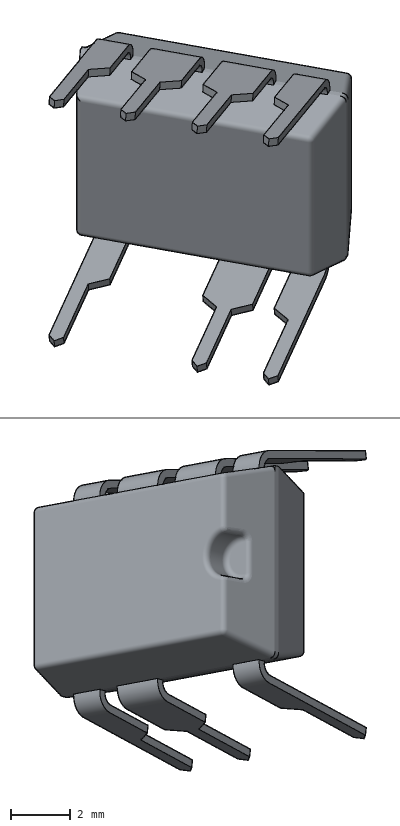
import cadquery as cq
import math

body_length = 9.45
body_width = 6.65
body_thickness = 4.32
band_thickness = 0.2
draft_angle = 14.5
edge_radius = 0.2

notch_radius = 0.75
notch_depth = 1.02
notch_edge_radius = 0.19

overall_height = 9.96
overall_depth = 7.95
lead_thickness = 0.28
lead_pitch = 2.54
leads_per_row = 4
splay_angle = 10.0
bend_inner_radius = 0.38
lead_embed = 0.2
shoulder_half_width = 0.89
leg_half_width = 0.26
shoulder_taper_length = 0.43
leg_length = 2.74
tip_length = 0.24
empty_lower_place = 1

taper_height = (body_thickness - band_thickness) / 2
notch_center_x = -body_length / 2 + taper_height * math.tan(math.radians(draft_angle))
notch_overrun = 2 * notch_radius

splay = math.radians(splay_angle)
bend_turn = math.pi / 2 - splay
bend_outer_radius = bend_inner_radius + lead_thickness
bend_center_y = lead_thickness / 2 - bend_outer_radius
bend_end_inner_y = bend_center_y + bend_inner_radius * math.cos(bend_turn)
lowest_y = body_thickness / 2 - overall_depth
blade_length = (bend_end_inner_y - lowest_y) / math.cos(splay)
blade_rise = blade_length * math.sin(splay)
bend_start_z = overall_height / 2 - blade_rise - bend_outer_radius * math.sin(bend_turn)


def bend_point(radius, angle):
    """Point (y, z) on the bend, turned by angle from its start."""
    return (
        bend_center_y + radius * math.cos(angle),
        bend_start_z + radius * math.sin(angle),
    )


def make_tapered_half(side, rounded_corners):
    """Half of the body from the band to its broad face, on the +Y (1) or -Y (-1) side."""
    half = (
        cq.Workplane("XZ", origin=(0, side * band_thickness / 2, 0))
        .rect(body_length, body_width)
        .extrude(-side * taper_height, taper=draft_angle)
    )
    corners = half.edges("not #Y").edges(rounded_corners)
    broad_face_rim = half.edges(">Y" if side > 0 else "<Y")
    return broad_face_rim.add(corners).fillet(edge_radius)


def make_body():
    """Band with two tapered halves; the -X +Z corner is sharp on the band and the -Y half."""
    all_corners = ">X or <X"
    all_but_sharp_corner = ">X or <Z"
    band = (
        cq.Workplane("XZ")
        .rect(body_length, body_width)
        .extrude(band_thickness / 2, both=True)
        .edges("|Y")
        .edges(all_but_sharp_corner)
        .fillet(edge_radius)
    )
    back_half = make_tapered_half(1, all_corners)
    front_half = make_tapered_half(-1, all_but_sharp_corner)
    return band.union(back_half).union(front_half)


def make_notch_cutter():
    """Slot with a round inner end; its floor is rounded into its walls."""
    return (
        cq.Workplane("XZ", origin=(notch_center_x, body_thickness / 2 - notch_depth, 0))
        .moveTo(-notch_overrun, -notch_radius)
        .lineTo(0, -notch_radius)
        .threePointArc((notch_radius, 0), (0, notch_radius))
        .lineTo(-notch_overrun, notch_radius)
        .close()
        .extrude(-notch_depth - notch_overrun)
        .faces("<Y")
        .edges("not <X")
        .fillet(notch_edge_radius)
    )


def cut_notch(body):
    """Cut the notch and round its rim, which is one smooth chain of edges."""
    rim_point = (notch_center_x + notch_radius, body_thickness / 2, 0)
    rim_edge = cq.selectors.NearestToPointSelector(rim_point)
    return body.cut(make_notch_cutter()).edges(rim_edge).fillet(notch_edge_radius)


def make_full_lead():
    """Lead at X = 0 on the +Z side, with a shoulder on both sides of its leg."""
    half_thickness = lead_thickness / 2

    bend = (
        cq.Workplane("YZ", origin=(-shoulder_half_width, 0, 0))
        .moveTo(half_thickness, body_width / 2 - lead_embed)
        .lineTo(half_thickness, bend_start_z)
        .threePointArc(
            bend_point(bend_outer_radius, bend_turn / 2),
            bend_point(bend_outer_radius, bend_turn),
        )
        .lineTo(*bend_point(bend_inner_radius, bend_turn))
        .threePointArc(
            bend_point(bend_inner_radius, bend_turn / 2),
            bend_point(bend_inner_radius, 0),
        )
        .lineTo(-half_thickness, body_width / 2 - lead_embed)
        .close()
        .extrude(2 * shoulder_half_width)
    )

    blade_plane = cq.Plane(
        origin=(0, *bend_point(bend_inner_radius, bend_turn)),
        xDir=(1, 0, 0),
        normal=(0, math.sin(splay), math.cos(splay)),
    )
    tip_start = -(blade_length - tip_length)
    leg_start = tip_start + leg_length
    wide_end = leg_start + shoulder_taper_length
    blade = (
        cq.Workplane(blade_plane)
        .polyline([
            (-shoulder_half_width, 0),
            (-shoulder_half_width, wide_end),
            (-leg_half_width, leg_start),
            (-leg_half_width, tip_start),
            (0, -blade_length),
            (leg_half_width, tip_start),
            (leg_half_width, leg_start),
            (shoulder_half_width, wide_end),
            (shoulder_half_width, 0),
        ])
        .close()
        .extrude(lead_thickness)
    )
    return bend.union(blade)


def trim_outer_shoulder(lead, side):
    """Cut the lead flush with its leg on the +X (side 1) or -X (side -1) side."""
    waste_center_x = side * (leg_half_width + overall_depth)
    waste = cq.Workplane("XY", origin=(waste_center_x, 0, 0)).box(
        2 * overall_depth, 2 * overall_depth, 2 * overall_height
    )
    return lead.cut(waste)


full_lead = make_full_lead()
lead_shapes = [full_lead] * leads_per_row
lead_shapes[0] = trim_outer_shoulder(full_lead, -1)
lead_shapes[-1] = trim_outer_shoulder(full_lead, 1)

result = cut_notch(make_body())
for place, lead_shape in enumerate(lead_shapes):
    center_x = (place - (leads_per_row - 1) / 2) * lead_pitch
    lead = lead_shape.translate((center_x, 0, 0))
    result = result.union(lead)
    if place != empty_lower_place:
        result = result.union(lead.mirror("XY"))